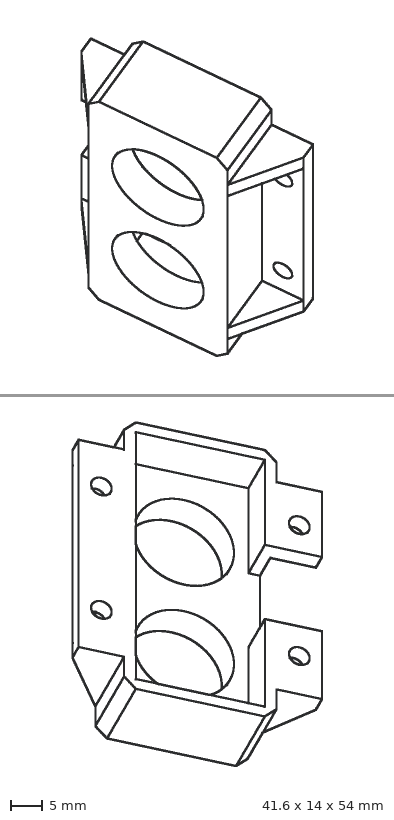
import cadquery as cq

height = 54.0
total_width = 41.6
depth = 14.0
body_width = 26.05
corner_chamfer = 2.0
wall = 2.0
front_thickness = 6.0
cavity_depth = depth - front_thickness

opening_diameter = 17.1
opening_spacing = 22.5

flange_height = 42.0
flange_thickness = 3.0
flange_reach = (total_width - body_width) / 2
left_rib_thickness = 2.0
right_rib_thickness = 3.0

screw_diameter = 3.5
screw_offset = 16.9
left_screw_spacing = 26.5
right_screw_spacing = 25.0

notch_height = 15.0
notch_center_z = 0.25

back_y = depth / 2
front_y = -depth / 2


def box(x_min, x_max, y_min, y_max, z_min, z_max):
    """Axis-aligned box between the given limits."""
    size = (x_max - x_min, y_max - y_min, z_max - z_min)
    return cq.Workplane("XY").box(*size, centered=False).translate((x_min, y_min, z_min))


def holes(points, diameter):
    """Round cutters along Y, through the full depth, at the (x, z) points."""
    return (
        cq.Workplane("XZ", origin=(0, back_y, 0))
        .pushPoints(points)
        .circle(diameter / 2)
        .extrude(depth)
    )


def flange(side, rib_thickness):
    """Flange with end ribs; side is -1 for left and +1 for right."""
    root_x = side * body_width / 2
    tip_x = side * (body_width / 2 + flange_reach)
    step_y = back_y - flange_thickness
    wedge = (
        cq.Workplane("XY", origin=(0, 0, -flange_height / 2))
        .polyline([(root_x, back_y), (tip_x, back_y), (tip_x, step_y), (root_x, front_y)])
        .close()
        .extrude(flange_height)
    )
    rib_inner_z = flange_height / 2 - rib_thickness
    pocket = box(
        min(root_x, tip_x), max(root_x, tip_x),
        front_y, step_y,
        -rib_inner_z, rib_inner_z,
    )
    return wedge.cut(pocket)


body = (
    cq.Workplane("XY")
    .box(body_width, depth, height)
    .edges("|Y")
    .chamfer(corner_chamfer)
)
result = body.union(flange(-1, left_rib_thickness)).union(flange(1, right_rib_thickness))

cavity_half_width = body_width / 2 - wall
cavity_half_height = height / 2 - wall
cavity_front_y = back_y - cavity_depth
cavity = box(
    -cavity_half_width, cavity_half_width,
    cavity_front_y, back_y,
    -cavity_half_height, cavity_half_height,
)
result = result.cut(cavity)

notch = box(
    -total_width / 2, -cavity_half_width,
    cavity_front_y, back_y,
    notch_center_z - notch_height / 2, notch_center_z + notch_height / 2,
)
result = result.cut(notch)

opening_points = [(0, sign * opening_spacing / 2) for sign in (-1, 1)]
result = result.cut(holes(opening_points, opening_diameter))
for side, spacing in ((-1, left_screw_spacing), (1, right_screw_spacing)):
    screw_points = [(side * screw_offset, sign * spacing / 2) for sign in (-1, 1)]
    result = result.cut(holes(screw_points, screw_diameter))